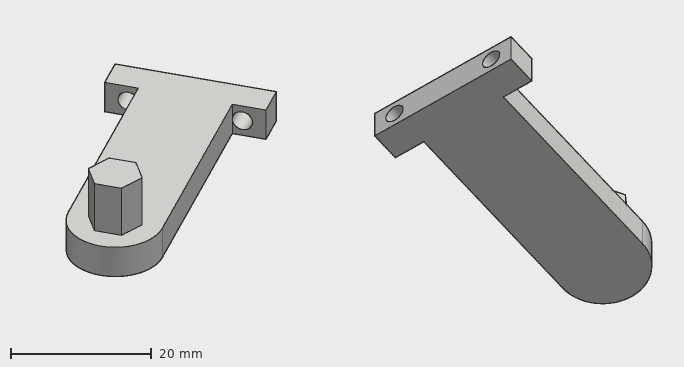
import cadquery as cq

total_length = 45.5
thickness = 5.0
arm_width = 14.0
crossbar_length = 24.05
crossbar_depth = 5.0
hex_corner_width = 8.0
hex_height = 8.0
hole_diameter = 3.0

arm_radius = arm_width / 2
back_y = total_length - arm_radius
crossbar_front_y = back_y - crossbar_depth
hole_x = arm_radius + hole_diameter / 2


def make_arm():
    """Flat arm with a full round at its free end."""
    return (
        cq.Workplane("XY")
        .moveTo(-arm_radius, back_y)
        .lineTo(-arm_radius, 0)
        .threePointArc((0, -arm_radius), (arm_radius, 0))
        .lineTo(arm_radius, back_y)
        .close()
        .extrude(thickness)
    )


def make_crossbar():
    """Bar across the back end of the arm."""
    return (
        cq.Workplane("XY")
        .center(0, back_y - crossbar_depth / 2)
        .rect(crossbar_length, crossbar_depth)
        .extrude(thickness)
    )


def make_hex_post():
    """Hexagonal post with two corners on the X axis, concentric with the rounded end."""
    return (
        cq.Workplane("XY")
        .workplane(offset=thickness)
        .polygon(6, hex_corner_width)
        .extrude(hex_height)
    )


def make_holes():
    """Pair of holes through the crossbar along Y, one on each side of the arm."""
    return (
        cq.Workplane("XZ", origin=(0, crossbar_front_y, thickness / 2))
        .pushPoints([(-hole_x, 0), (hole_x, 0)])
        .circle(hole_diameter / 2)
        .extrude(-crossbar_depth)
    )


result = make_arm().union(make_crossbar()).union(make_hex_post()).cut(make_holes())